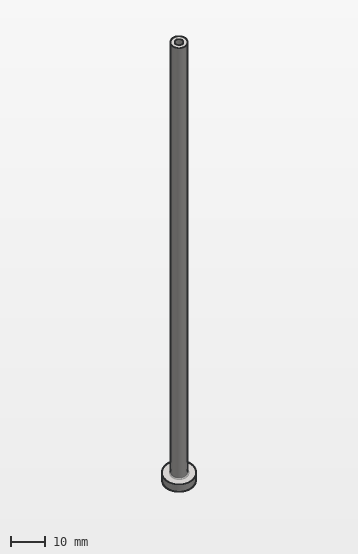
import cadquery as cq

total_length = 178.0
head_diameter = 10.0
head_height = 3.0
shaft_diameter = 5.0
bore_diameter = 2.5
neck_fillet = 0.3

head = cq.Workplane("XY").circle(head_diameter / 2).extrude(head_height)

shaft = cq.Workplane("XY").circle(shaft_diameter / 2).extrude(total_length)
body = head.union(shaft)

neck_corner = cq.selectors.RadiusNthSelector(0)
body = body.faces("<Z[1]").edges(neck_corner).fillet(neck_fillet)

bore = cq.Workplane("XY").circle(bore_diameter / 2).extrude(total_length)
result = body.cut(bore)